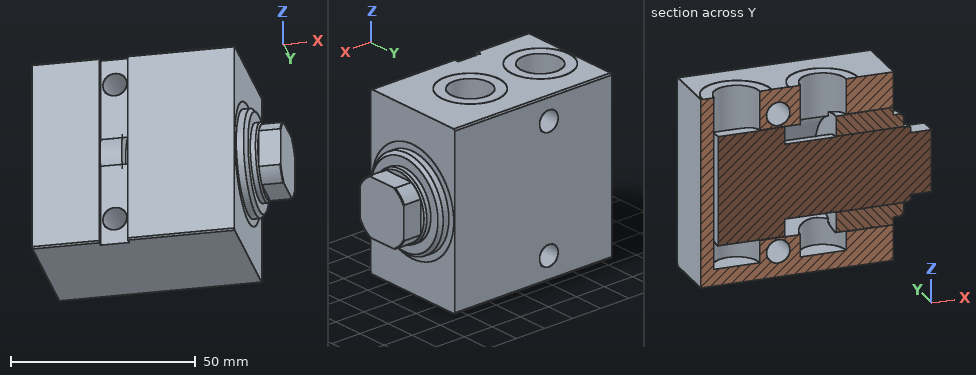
import cadquery as cq


BLOCK_LENGTH = 56.0
BLOCK_WIDTH = 35.0
BLOCK_HEIGHT = 55.0
EDGE_CHAMFER = 0.5

BORE_DIAMETER = 31.95
BORE_START = 5.0
GLAND_DIAMETER = 34.05
GLAND_START = 39.2

GROOVE_CENTER = 22.5
GROOVE_WIDTH = 7.9
GROOVE_DEPTH = 2.0
MOUNT_HOLE_DIAMETER = 6.6
MOUNT_HOLE_SPACING = 40.0

PORT_DIAMETER = 13.2
PORT_DEPTH = 50.0
SPOTFACE_DIAMETER = 20.0
SPOTFACE_DEPTH = 0.1
FIRST_PORT_X = 10.5
PORT_SPACING = 25.0

FLANGE_DIAMETER = 29.95
FLANGE_THICKNESS = 3.0
FLANGE_CHAMFER = 1.0

PISTON_LENGTH = 19.5
ROD_DIAMETER = 22.0
ROD_PROJECTION = 1.95
ROD_CHAMFER = 0.55
TIP_DIAMETER = 21.05
TIP_CHAMFER = 0.2
ACROSS_FLATS = 18.15
OVERALL_LENGTH = 67.0

FLANGE_END = BLOCK_LENGTH + FLANGE_THICKNESS
ROD_END = FLANGE_END + ROD_PROJECTION


def cylinder_along_x(diameter, start, end):
    """Cylinder on the X axis between two X positions."""
    return cq.Workplane("YZ", origin=(start, 0, 0)).circle(diameter / 2).extrude(end - start)


def make_block():
    """Rectangular block with its four long edges chamfered."""
    block = cq.Workplane("XY").box(BLOCK_LENGTH, BLOCK_WIDTH, BLOCK_HEIGHT)
    return block.edges("|X").chamfer(EDGE_CHAMFER).translate((BLOCK_LENGTH / 2, 0, 0))


def make_groove():
    """Cutter for the full-height groove in the -Y face."""
    groove_center_y = (GROOVE_DEPTH - BLOCK_WIDTH) / 2
    groove = cq.Workplane("XY").box(GROOVE_WIDTH, GROOVE_DEPTH, BLOCK_HEIGHT)
    return groove.translate((GROOVE_CENTER, groove_center_y, 0))


def make_mount_holes():
    """Cutter for the two holes that run right through the block along Y."""
    return (
        cq.Workplane("XZ", origin=(GROOVE_CENTER, 0, 0))
        .rarray(0.7, MOUNT_HOLE_SPACING, 1, 2)
        .circle(MOUNT_HOLE_DIAMETER / 2)
        .extrude(BLOCK_WIDTH / 2, both=True)
    )


def make_port(port_x):
    """Cutter for one port: a shallow spotface and a blind hole that crosses the bore."""
    top_plane = cq.Workplane("XY", origin=(port_x, 0, BLOCK_HEIGHT / 2))
    hole = top_plane.circle(PORT_DIAMETER / 2).extrude(-PORT_DEPTH)
    spotface = top_plane.circle(SPOTFACE_DIAMETER / 2).extrude(-SPOTFACE_DEPTH)
    return hole.union(spotface)


def make_housing():
    """Block with the bore, gland seat, groove, mounting holes and ports cut out."""
    housing = make_block()
    housing = housing.cut(cylinder_along_x(BORE_DIAMETER, BORE_START, GLAND_START))
    housing = housing.cut(cylinder_along_x(GLAND_DIAMETER, GLAND_START, BLOCK_LENGTH))
    housing = housing.cut(make_groove())
    housing = housing.cut(make_mount_holes())
    for port_x in (FIRST_PORT_X, FIRST_PORT_X + PORT_SPACING):
        housing = housing.cut(make_port(port_x))
    return housing


def make_gland():
    """Bush that closes the bore and guides the rod, with a chamfered outer flange."""
    body = cylinder_along_x(GLAND_DIAMETER, GLAND_START, BLOCK_LENGTH)
    flange = cylinder_along_x(FLANGE_DIAMETER, BLOCK_LENGTH, FLANGE_END)
    flange = flange.faces(">X").chamfer(FLANGE_CHAMFER)
    rod_hole = cylinder_along_x(ROD_DIAMETER, GLAND_START, FLANGE_END)
    return body.union(flange).cut(rod_hole)


def make_rod_tip():
    """Round rod tip with four wrench flats."""
    tip_length = OVERALL_LENGTH - ROD_END
    tip = cylinder_along_x(TIP_DIAMETER, ROD_END, OVERALL_LENGTH)
    tip = tip.faces(">X").chamfer(TIP_CHAMFER)
    square_bar = (
        cq.Workplane("YZ", origin=(ROD_END, 0, 0))
        .rect(ACROSS_FLATS, ACROSS_FLATS)
        .extrude(tip_length)
    )
    return tip.intersect(square_bar)


def make_piston_rod():
    """Piston, rod and wrench tip in one piece, with the piston at the closed end."""
    piston_end = BORE_START + PISTON_LENGTH
    piston = cylinder_along_x(BORE_DIAMETER, BORE_START, piston_end)
    rod = cylinder_along_x(ROD_DIAMETER, piston_end, ROD_END)
    rod = rod.faces(">X").chamfer(ROD_CHAMFER)
    return piston.union(rod).union(make_rod_tip())


housing = make_housing()
gland = make_gland()
piston_rod = make_piston_rod()

result = cq.Compound.makeCompound([housing.val(), gland.val(), piston_rod.val()])